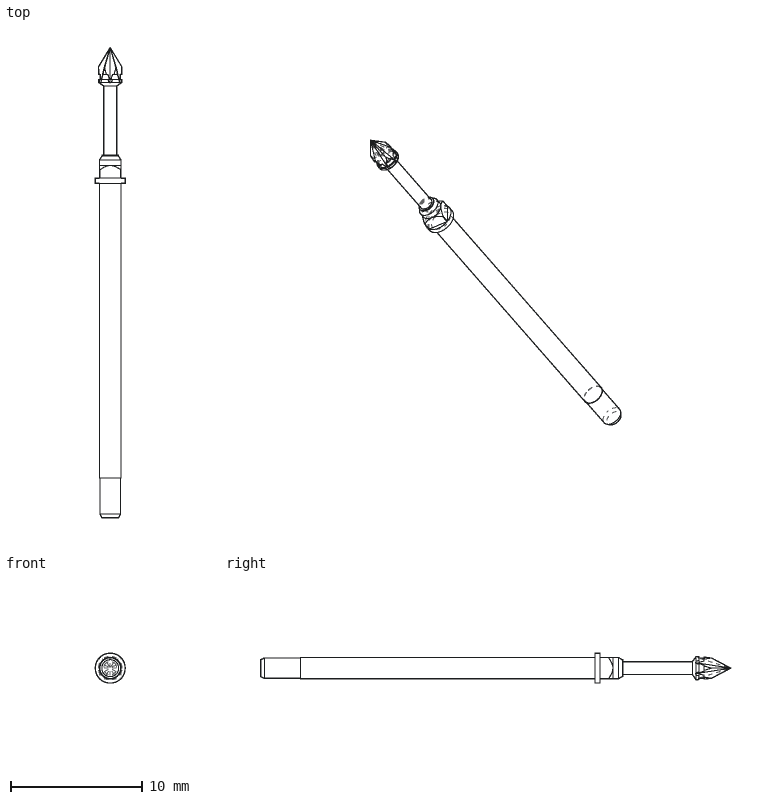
import cadquery as cq
import math

LENGTH = 35.8
TIP_Y = LENGTH / 2

HEAD_RADIUS = 0.9
NECK_RADIUS = 0.8
BLADE_COUNT = 6
BLADE_POINT_LENGTH = 1.45
BLADE_END = 2.05
COLLAR_START = 2.45
COLLAR_END = 2.65
VALLEY_RADIUS = 0.82
HEAD_END = 2.95

SHAFT_RADIUS = 0.5
SHAFT_END = 8.2

BARREL_RADIUS = 0.82
MOUTH_RADIUS = 0.65
MOUTH_CONE_START = 8.27
MOUTH_CONE_END = 8.55
SQUARE_START = 9.0
SQUARE_HALF_WIDTH = 0.82
FLANGE_START = 9.95
FLANGE_END = 10.35
FLANGE_RADIUS = 1.15

TAIL_START = 32.75
TAIL_RADIUS = 0.8
TAIL_CHAMFER_LENGTH = 0.3
TAIL_CHAMFER_DEPTH = 0.15


def revolve_profile(radius_station_pairs):
    """Revolve an outline of (radius, station) corners around the pin axis."""
    points = [(radius, TIP_Y - station) for radius, station in radius_station_pairs]
    return cq.Workplane("XY").polyline(points).close().revolve(360, (0, 0), (0, 1))


def star_pyramid():
    """Pyramid with a star-shaped section that widens back from the tip, ridges alternating with valleys."""
    ridge_radius = HEAD_RADIUS * HEAD_END / BLADE_POINT_LENGTH
    valley_radius = VALLEY_RADIUS * HEAD_END / COLLAR_END
    base_y = TIP_Y - HEAD_END
    corners = []
    for index in range(2 * BLADE_COUNT):
        angle = math.pi * index / BLADE_COUNT
        radius = ridge_radius if index % 2 == 0 else valley_radius
        corners.append(cq.Vector(radius * math.cos(angle), base_y, radius * math.sin(angle)))
    apex = cq.Vector(0, TIP_Y, 0)
    faces = [cq.Face.makeFromWires(cq.Wire.makePolygon(corners, close=True))]
    for index, corner in enumerate(corners):
        side = cq.Wire.makePolygon([apex, corner, corners[index - 1]], close=True)
        faces.append(cq.Face.makeFromWires(side))
    return cq.Workplane(cq.Solid.makeSolid(cq.Shell.makeShell(faces)))


def make_head():
    """Six sharp blades: a turned blank trimmed to a star-shaped pyramid."""
    blank = revolve_profile([
        (0, 0),
        (HEAD_RADIUS, 0),
        (HEAD_RADIUS, BLADE_END),
        (NECK_RADIUS, BLADE_END),
        (NECK_RADIUS, COLLAR_START),
        (HEAD_RADIUS, COLLAR_START),
        (HEAD_RADIUS, COLLAR_END),
        (SHAFT_RADIUS, HEAD_END),
        (0, HEAD_END),
    ])
    return blank.intersect(star_pyramid())


def make_shaft():
    return revolve_profile([
        (0, COLLAR_END),
        (SHAFT_RADIUS, COLLAR_END),
        (SHAFT_RADIUS, SHAFT_END),
        (0, SHAFT_END),
    ])


def make_mouth():
    """Stepped, tapered front end of the barrel."""
    return revolve_profile([
        (0, SHAFT_END),
        (MOUTH_RADIUS, SHAFT_END),
        (MOUTH_RADIUS, MOUTH_CONE_START),
        (SQUARE_HALF_WIDTH, MOUTH_CONE_END),
        (SQUARE_HALF_WIDTH, SQUARE_START),
        (0, SQUARE_START),
    ])


def make_square_section():
    """Square whose front corners are turned off by a 45 degree cone."""
    corner_turning = revolve_profile([
        (0, SQUARE_START),
        (SQUARE_HALF_WIDTH, SQUARE_START),
        (FLANGE_RADIUS, SQUARE_START + FLANGE_RADIUS - SQUARE_HALF_WIDTH),
        (FLANGE_RADIUS, FLANGE_START),
        (0, FLANGE_START),
    ])
    width = 2 * SQUARE_HALF_WIDTH
    return corner_turning.intersect(cq.Workplane("XY").box(width, LENGTH, width))


def make_barrel():
    """Flange, long tube and chamfered tail."""
    return revolve_profile([
        (0, FLANGE_START),
        (FLANGE_RADIUS, FLANGE_START),
        (FLANGE_RADIUS, FLANGE_END),
        (BARREL_RADIUS, FLANGE_END),
        (BARREL_RADIUS, TAIL_START),
        (TAIL_RADIUS, TAIL_START),
        (TAIL_RADIUS, LENGTH - TAIL_CHAMFER_LENGTH),
        (TAIL_RADIUS - TAIL_CHAMFER_DEPTH, LENGTH),
        (0, LENGTH),
    ])


result = (
    make_head()
    .union(make_shaft())
    .union(make_mouth())
    .union(make_square_section())
    .union(make_barrel())
)